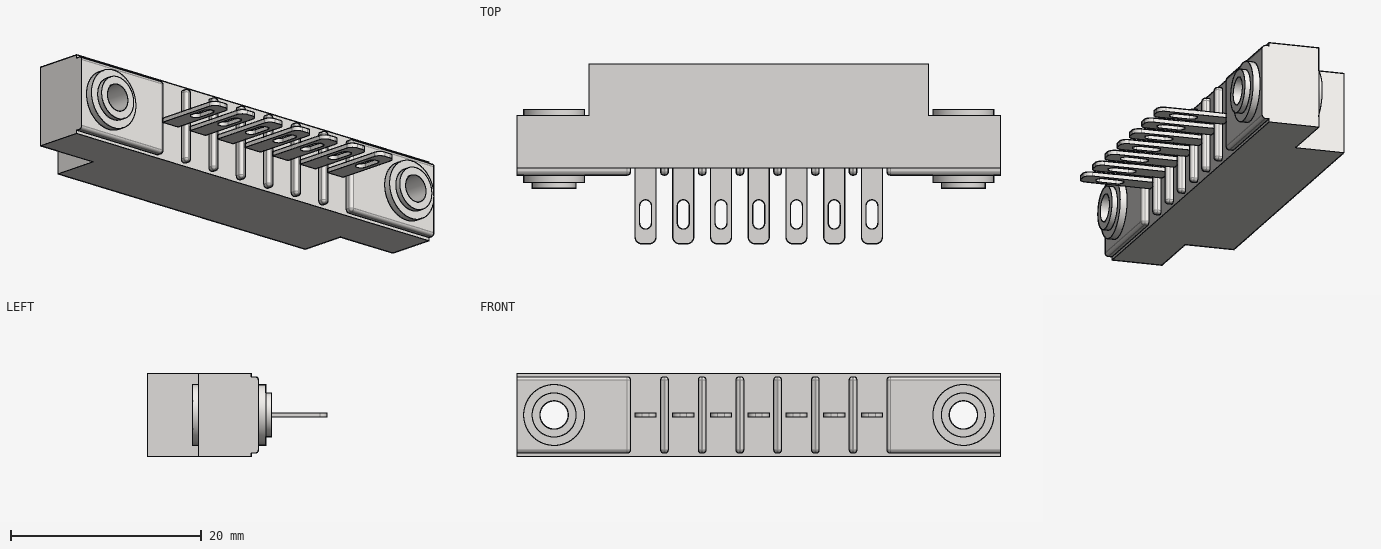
import cadquery as cq


LENGTH = 50.75
HEIGHT = 8.75
EAR_DEPTH = 5.55
BLOCK_DEPTH = 10.9
BLOCK_LENGTH = 35.65

TERMINAL_COUNT = 7
PITCH = 3.95
TERMINAL_LENGTH = 7.95
TERMINAL_WIDTH = 2.25
TERMINAL_THICKNESS = 0.45
TERMINAL_CORNER_RADIUS = 0.75
EYE_WIDTH = 1.2
EYE_LENGTH = 3.05
EYE_TO_TIP = 1.55

RIB_COUNT = TERMINAL_COUNT - 1
RIB_WIDTH = 0.8
RAISED_HEIGHT = 0.75
RAISED_MARGIN = 0.35
RAISED_LENGTH = HEIGHT - 2 * RAISED_MARGIN
ROUND_RADIUS = 0.35
PAD_INNER_X = (RIB_COUNT + 1) / 2 * PITCH - RIB_WIDTH / 2
PAD_LENGTH = LENGTH / 2 - PAD_INNER_X

EYELET_X = 21.45
FLANGE_DIAMETER = 6.4
BARREL_DIAMETER = 4.6
BORE_DIAMETER = 2.95
REAR_FLANGE_THICKNESS = 0.6
FRONT_FLANGE_THICKNESS = 0.75
BARREL_PROJECTION = 0.6


def row_positions(count):
    """X positions of a centred row at the terminal pitch."""
    return [(index - (count - 1) / 2) * PITCH for index in range(count)]


def cylinder_along_y(diameter, x, y_start, y_end):
    """Cylinder from y_start up to y_end, on an axis parallel to Y at the given X."""
    return cq.Workplane("XZ", origin=(x, y_start, 0)).circle(diameter / 2).extrude(y_start - y_end)


def make_rib(x):
    """Rib rounded on its corners and around its front, leaving a narrow flat crest."""
    rib = cq.Workplane("XY").box(RIB_WIDTH, RAISED_HEIGHT, RAISED_LENGTH)
    rib = rib.edges("|Y or <Y").fillet(ROUND_RADIUS)
    return rib.translate((x, -RAISED_HEIGHT / 2, 0))


def make_pad(side):
    """Pad on one ear (side is -1 or 1), rounded on every free edge and flush with the housing end."""
    pad = cq.Workplane("XY").box(PAD_LENGTH, RAISED_HEIGHT, RAISED_LENGTH)
    long_front_edges = "(<Y and |X)"
    inner_edges = "(<X and |Y) or (<X and <Y)"
    pad = pad.edges(f"{long_front_edges} or {inner_edges}").fillet(ROUND_RADIUS)
    pad = pad.translate((PAD_INNER_X + PAD_LENGTH / 2, -RAISED_HEIGHT / 2, 0))
    return pad if side > 0 else pad.mirror("YZ")


def make_housing():
    """Stepped block with ribs, pads and the holes for the eyelet barrels."""
    ears = cq.Workplane("XY").box(LENGTH, EAR_DEPTH, HEIGHT).translate((0, EAR_DEPTH / 2, 0))
    block = cq.Workplane("XY").box(BLOCK_LENGTH, BLOCK_DEPTH, HEIGHT).translate((0, BLOCK_DEPTH / 2, 0))
    housing = ears.union(block)
    for x in row_positions(RIB_COUNT):
        housing = housing.union(make_rib(x))
    for side in (-1, 1):
        housing = housing.union(make_pad(side))
        housing = housing.cut(cylinder_along_y(BARREL_DIAMETER, side * EYELET_X, -RAISED_HEIGHT, EAR_DEPTH))
    return housing


def make_terminal(x):
    """Flat tab with rounded tip corners and a solder eye, standing on the terminal face."""
    tab = (
        cq.Workplane("XY")
        .box(TERMINAL_WIDTH, TERMINAL_LENGTH, TERMINAL_THICKNESS)
        .translate((0, -TERMINAL_LENGTH / 2, 0))
        .edges("<Y and |Z")
        .fillet(TERMINAL_CORNER_RADIUS)
    )
    eye_y = -TERMINAL_LENGTH + EYE_TO_TIP + EYE_LENGTH / 2
    eye = (
        cq.Workplane("XY")
        .center(0, eye_y)
        .slot2D(EYE_LENGTH, EYE_WIDTH, 90)
        .extrude(TERMINAL_THICKNESS, both=True)
    )
    return tab.cut(eye).translate((x, 0, 0))


def make_eyelet(x):
    """Bored barrel through the ear, flanged on the shoulder and on the pad."""
    pad_face_y = -RAISED_HEIGHT
    front_flange_y = pad_face_y - FRONT_FLANGE_THICKNESS
    barrel_front_y = front_flange_y - BARREL_PROJECTION
    rear_y = EAR_DEPTH + REAR_FLANGE_THICKNESS
    barrel = cylinder_along_y(BARREL_DIAMETER, x, barrel_front_y, rear_y)
    rear_flange = cylinder_along_y(FLANGE_DIAMETER, x, EAR_DEPTH, rear_y)
    front_flange = cylinder_along_y(FLANGE_DIAMETER, x, front_flange_y, pad_face_y)
    bore = cylinder_along_y(BORE_DIAMETER, x, barrel_front_y, rear_y)
    return barrel.union(rear_flange).union(front_flange).cut(bore)


housing = make_housing()
terminals = [make_terminal(x) for x in row_positions(TERMINAL_COUNT)]
eyelets = [make_eyelet(side * EYELET_X) for side in (-1, 1)]

result = cq.Compound.makeCompound(
    [housing.val()]
    + [terminal.val() for terminal in terminals]
    + [eyelet.val() for eyelet in eyelets]
)